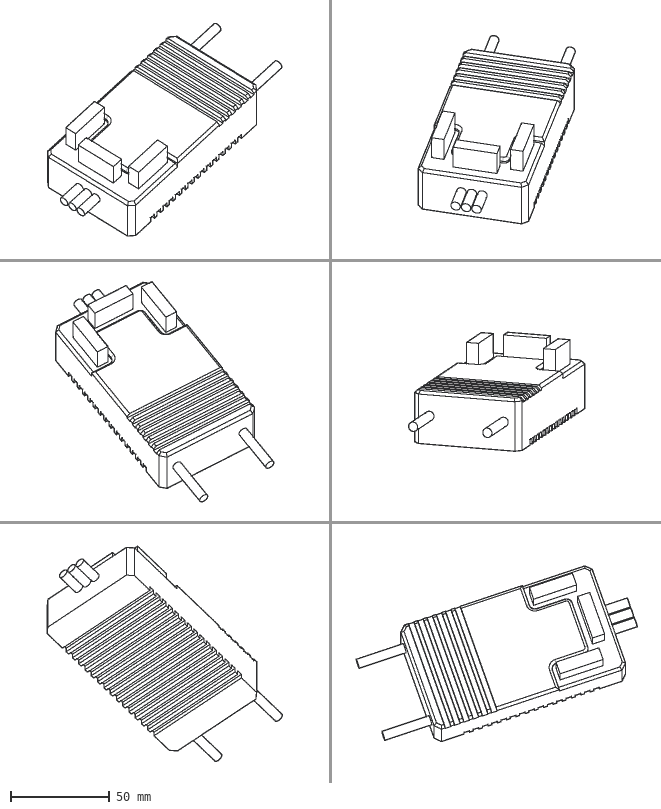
import cadquery as cq

TOTAL_LENGTH = 141.1
TOTAL_HEIGHT = 37.7

WIDTH = 58.0
REAR_WIRE_LENGTH = 25.3
FRONT_WIRE_LENGTH = 12.5
LENGTH = TOTAL_LENGTH - REAR_WIRE_LENGTH - FRONT_WIRE_LENGTH
COVER_HEIGHT = 27.5
LEDGE_HEIGHT = 25.0
CORNER_CHAMFER = 3.0
TOP_CHAMFER = 1.5

STEP_Y = 36.7
TONGUE_TIP_Y = 15.7
TONGUE_WIDTH = 30.3
TONGUE_FILLET = 3.0

SLOT_WIDTH = 3.0
TOP_SLOT_COUNT = 6
TOP_SLOT_SPAN = 25.0
TOP_SLOT_REAR_MARGIN = 5.1
BOTTOM_SLOT_COUNT = 15
BOTTOM_SLOT_SPAN = 70.0
BOTTOM_SLOT_DEPTH = 3.0

BLOCK_LENGTH = 23.1
BLOCK_THICKNESS = 6.5
SIDE_BLOCK_X = 20.7
SIDE_BLOCK_FRONT_Y = 11.4
FRONT_BLOCK_FRONT_Y = 6.3

WIRE_DIAMETER = 5.0
WIRE_Z = 15.0
REAR_WIRE_X = 20.0
FRONT_WIRE_PITCH = 5.5


def make_ledge():
    """Whole housing outline up to the level of the ledge, with bevelled corners and rim."""
    return (
        cq.Workplane("XY")
        .box(WIDTH, LENGTH, LEDGE_HEIGHT, centered=(True, False, False))
        .edges("|Z")
        .chamfer(CORNER_CHAMFER)
        .faces(">Z")
        .chamfer(TOP_CHAMFER)
    )


def make_cover():
    """Taller rear part and its tongue, with one bevel all around the top."""
    rear = (
        cq.Workplane("XY")
        .box(WIDTH, LENGTH - STEP_Y, COVER_HEIGHT, centered=(True, False, False))
        .translate((0, STEP_Y, 0))
        .edges("|Z and >Y")
        .chamfer(CORNER_CHAMFER)
    )
    tongue_length = LENGTH / 2 - TONGUE_TIP_Y
    tongue = (
        cq.Workplane("XY")
        .box(TONGUE_WIDTH, tongue_length, COVER_HEIGHT, centered=(True, False, False))
        .translate((0, TONGUE_TIP_Y, 0))
    )
    forward_half = cq.selectors.BoxSelector(
        (-WIDTH, 0, 0),
        (WIDTH, LENGTH / 2, COVER_HEIGHT),
    )
    tongue_corners = forward_half & cq.selectors.StringSyntaxSelector("|Z and (not (>X or <X))")
    return (
        rear.union(tongue)
        .edges(tongue_corners)
        .fillet(TONGUE_FILLET)
        .faces(">Z")
        .chamfer(TOP_CHAMFER)
    )


def make_slots(count, span, first_y, floor_z, depth):
    """Row of cross slots; first_y is the centre of the first one and span joins the end centres."""
    pitch = span / (count - 1)
    centres = [(0, first_y + i * pitch) for i in range(count)]
    return (
        cq.Workplane("XY", origin=(0, 0, floor_z))
        .pushPoints(centres)
        .rect(WIDTH, SLOT_WIDTH)
        .extrude(depth)
    )


def make_block(size_x, size_y, x, front_y):
    """Terminal block rising from the ledge to the full height."""
    return (
        cq.Workplane("XY")
        .box(size_x, size_y, TOTAL_HEIGHT - LEDGE_HEIGHT, centered=(True, False, False))
        .translate((x, front_y, LEDGE_HEIGHT))
    )


def make_wire(x, start_y, length):
    """Round wire along +Y."""
    start = cq.Vector(x, start_y, WIRE_Z)
    return cq.Workplane(cq.Solid.makeCylinder(WIRE_DIAMETER / 2, length, start, cq.Vector(0, 1, 0)))


first_top_slot_y = LENGTH - TOP_SLOT_REAR_MARGIN - SLOT_WIDTH / 2 - TOP_SLOT_SPAN
top_slots = make_slots(
    TOP_SLOT_COUNT, TOP_SLOT_SPAN, first_top_slot_y, LEDGE_HEIGHT, COVER_HEIGHT - LEDGE_HEIGHT
)
bottom_slots = make_slots(
    BOTTOM_SLOT_COUNT, BOTTOM_SLOT_SPAN, (LENGTH - BOTTOM_SLOT_SPAN) / 2, 0, BOTTOM_SLOT_DEPTH
)

result = make_ledge().union(make_cover()).cut(top_slots).cut(bottom_slots)

result = result.union(make_block(BLOCK_LENGTH, BLOCK_THICKNESS, 0, FRONT_BLOCK_FRONT_Y))
for side in (-1, 1):
    result = result.union(
        make_block(BLOCK_THICKNESS, BLOCK_LENGTH, side * SIDE_BLOCK_X, SIDE_BLOCK_FRONT_Y)
    )
    result = result.union(make_wire(side * REAR_WIRE_X, LENGTH, REAR_WIRE_LENGTH))
for position in (-1, 0, 1):
    result = result.union(make_wire(position * FRONT_WIRE_PITCH, -FRONT_WIRE_LENGTH, FRONT_WIRE_LENGTH))